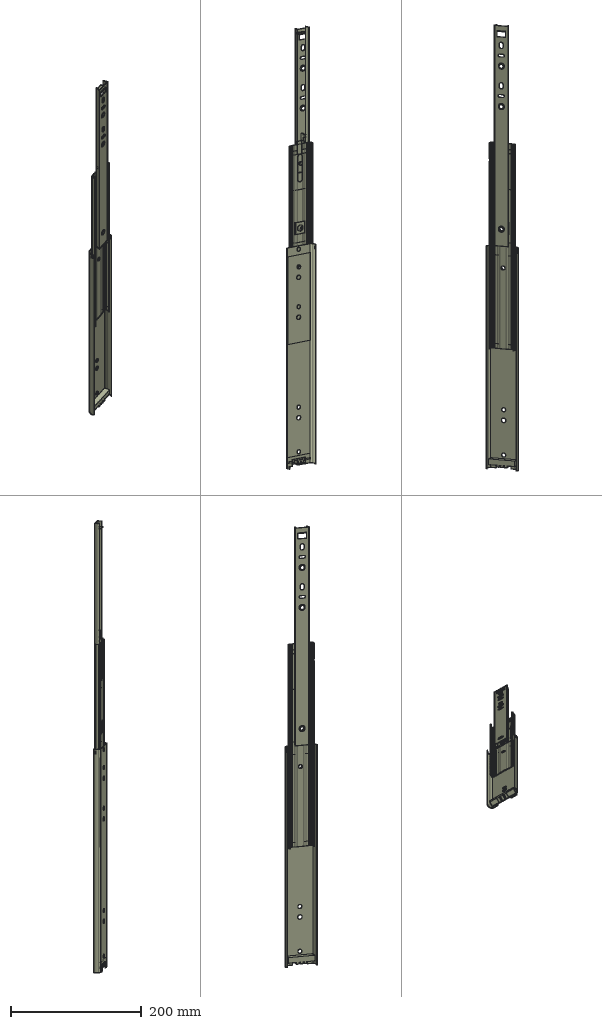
import cadquery as cq
import math


slide_length = 700.0
outer_length = 350.0
middle_bottom, middle_top = 189.0, 513.0
inner_bottom = 353.0
outer_depth = 11.0
inner_overhang = 1.5
slide_depth = outer_depth + inner_overhang
sheet = 1.05
middle_sheet = 0.9
screw_hole = 6.0
hole_pitch = 64.0
through_x = 2 * slide_depth


def shift_path(path, distance):
    """Move an open (x, y) path to its right-hand side, with mitred corners."""
    normals = []
    for (x0, y0), (x1, y1) in zip(path, path[1:]):
        length = math.hypot(x1 - x0, y1 - y0)
        normals.append(((y1 - y0) / length, (x0 - x1) / length))
    shifted = []
    for i, (x, y) in enumerate(path):
        ax, ay = normals[max(i - 1, 0)]
        bx, by = normals[min(i, len(normals) - 1)]
        reach = distance / (1 + ax * bx + ay * by)
        shifted.append((x + (ax + bx) * reach, y + (ay + by) * reach))
    return shifted


def folded_sheet(half_path, thickness, bottom, top):
    """Extrude a folded strip along Z.

    half_path runs from the web to the +Y lip and is mirrored in Y. A positive thickness
    grows towards +X at the web, a negative one towards -X.
    """
    path = [(x, -y) for x, y in reversed(half_path)] + half_path
    outline = path + shift_path(path, thickness)[::-1]
    return cq.Workplane("XY", origin=(0, 0, bottom)).polyline(outline).close().extrude(top - bottom)


def block(x0, x1, y0, y1, z0, z1):
    """Box between the given limits."""
    return cq.Workplane("XY").box(x1 - x0, y1 - y0, z1 - z0, centered=False).translate((x0, y0, z0))


def bore(z, diameter):
    """Round cutter along X through the whole slide."""
    return cq.Workplane("YZ").center(0, z).circle(diameter / 2).extrude(through_x)


def slot(z, long, short, angle):
    """Slot cutter along X; angle 0 lies along Y, 90 along Z."""
    return cq.Workplane("YZ").center(0, z).slot2D(long, short, angle).extrude(through_x)


outer_half_width = 26.0
side_end_half = 24.5
bevel_depth = 3.5
web_half = 22.0

screw_top_z = 316.5
pair_drop = 17.0
wide_hole = 7.0
low_screw_z = 92.5
outer_screws = [screw_top_z, screw_top_z - hole_pitch, low_screw_z]
outer_top_hole_z, outer_low_hole_z = 344.5, 21.0

end_notch_half, end_notch_top = 12.0, 10.5
lip_window_height = 4.0
outer_window_back, outer_window_front = 7.0, 10.5
outer_window_z = 343.0


def outer_section(inset):
    """Filled section of the channel, with back and sides moved inwards by inset."""
    arc_mid = (bevel_depth + outer_depth) / 2
    back_half = web_half - inset / 2
    end_half = side_end_half - inset
    side_half = outer_half_width - inset
    return (
        cq.Workplane("XY")
        .moveTo(inset, -back_half)
        .lineTo(bevel_depth, -end_half)
        .threePointArc((arc_mid, -side_half), (outer_depth, -end_half))
        .lineTo(outer_depth, end_half)
        .threePointArc((arc_mid, side_half), (bevel_depth, end_half))
        .lineTo(inset, back_half)
        .close()
        .extrude(outer_length)
    )


def make_outer():
    member = outer_section(0).cut(outer_section(sheet))
    for z in outer_screws + [outer_top_hole_z, outer_low_hole_z]:
        member = member.cut(bore(z, screw_hole))
    for z in outer_screws:
        member = member.cut(bore(z - pair_drop, wide_hole))
    end_notch = block(0, sheet, -end_notch_half, end_notch_half, 0, end_notch_top)
    lip_windows = block(outer_window_back, outer_window_front, -outer_half_width, outer_half_width,
                        outer_window_z, outer_window_z + lip_window_height)
    return member.cut(end_notch).cut(lip_windows)


middle_back = 2.65
groove_depth = 0.8
groove_floor_half, groove_top_half = 5.25, 9.0
land_half = 13.0
bead_depth = 0.55
bead_pitch = 1.5
middle_half_width = 20.0
corner_front, corner_drop = 4.0, 1.75
side_front = 9.0
lip_fold = 0.55
lip_fold_drop = 0.85
middle_window_z = 484.5

latch_slot_bottom, latch_slot_top, latch_slot_width = 453.0, 497.0, 8.5
low_hole_z = 379.5
access_window = 19.0


def make_middle():
    path = [
        (middle_back + groove_depth, groove_floor_half),
        (middle_back, groove_top_half),
        (middle_back, land_half),
        (middle_back + bead_depth, land_half + bead_pitch),
        (middle_back, land_half + 2 * bead_pitch),
        (middle_back + bead_depth, land_half + 3 * bead_pitch),
        (middle_back + bead_depth, middle_half_width - corner_drop),
        (corner_front, middle_half_width),
        (side_front, middle_half_width),
        (side_front + lip_fold, middle_half_width - lip_fold_drop),
        (side_front + 2 * lip_fold, middle_half_width),
        (side_front + 3 * lip_fold, middle_half_width - 2 * lip_fold_drop),
    ]
    member = folded_sheet(path, middle_sheet, middle_bottom, middle_top)
    half_window = access_window / 2
    access = block(0, outer_depth / 2, -half_window, half_window, low_hole_z - half_window,
                   low_hole_z + half_window)
    latch_slot = slot((latch_slot_bottom + latch_slot_top) / 2, latch_slot_top - latch_slot_bottom,
                      latch_slot_width, 90)
    lip_windows = block(side_front, outer_depth, -middle_half_width, middle_half_width,
                        middle_window_z, middle_window_z + lip_window_height)
    return member.cut(access).cut(latch_slot).cut(lip_windows).cut(bore(screw_top_z, screw_hole))


inner_back = 5.3
inner_half_width = 12.0
bend_x, bend_half = 9.0, 10.5
lip_half = 10.0

group_top_z = 669.0
cross_slot_drop = 16.0
round_hole_drop = 33.0
slot_long, slot_short = 10.0, 6.0
cross_slot_short = 4.0
countersink = 10.0
tab_back, tab_half = 3.15, 7.0
window_bottom, window_top = 682.5, 691.0


def countersunk_hole(z):
    """Cone cutter through the inner web, wide at its back face."""
    wide_end = cq.Workplane("YZ", origin=(slide_depth - sheet, 0, z)).circle(countersink / 2)
    return wide_end.workplane(offset=sheet).circle(screw_hole / 2).loft()


def make_inner():
    path = [
        (slide_depth, inner_half_width),
        (bend_x, bend_half),
        (inner_back, lip_half),
    ]
    member = folded_sheet(path, -sheet, inner_bottom, slide_length)
    for z in (group_top_z, group_top_z - hole_pitch):
        member = member.cut(slot(z, slot_long, slot_short, 90))
        member = member.cut(slot(z - cross_slot_drop, slot_long, cross_slot_short, 0))
        member = member.cut(countersunk_hole(z - round_hole_drop))
    member = member.cut(countersunk_hole(low_hole_z))
    window = block(bend_x, slide_depth, -tab_half, tab_half, window_bottom, window_top)
    tab = block(tab_back, slide_depth, -tab_half, tab_half, window_top, window_top + sheet)
    return member.cut(window).union(tab)


retainer_sheet = 0.5
retainer_front = 8.0
outer_retainer_back, outer_retainer_half = 1.55, 21.0
outer_retainer_bottom, outer_retainer_top = 196.0, 336.0
inner_retainer_back, inner_retainer_half = 4.55, 15.5
inner_retainer_bottom, inner_retainer_top = 357.0, 441.0


def make_retainer(back, half_width, bottom, top, opening):
    path = [(back, half_width), (retainer_front, half_width)]
    return folded_sheet(path, retainer_sheet, bottom, top).cut(opening)


stop_back = 2.3
bar_bottom, bar_top = 497.0, 503.0
tongue_half, stop_top = 4.0, 518.0


def make_stop():
    bar = block(stop_back, middle_back, -land_half, land_half, bar_bottom, bar_top)
    tongue_front = middle_back + groove_depth
    tongue = block(stop_back, tongue_front, -tongue_half, tongue_half, bar_bottom, stop_top)
    return bar.union(tongue)


lever_back, lever_front = 5.5, 8.5
lever_bottom, lever_shoulder, lever_top = 469.0, 516.0, 530.5
lever_half = 6.0
stem_left, stem_right, finger_end = -1.0, -4.0, -8.5
stem_base, finger_bottom, finger_top = 520.0, 523.5, 528.0
lever_hole_z = 483.0


def make_lever():
    outline = [
        (-lever_half, lever_bottom), (lever_half, lever_bottom), (lever_half, lever_shoulder),
        (stem_left, stem_base), (stem_left, lever_top), (stem_right, lever_top),
        (stem_right, finger_top), (finger_end, finger_top), (finger_end, finger_bottom),
        (stem_right, finger_bottom), (stem_right, stem_base), (-lever_half, lever_shoulder),
    ]
    plate = cq.Workplane("YZ", origin=(lever_back, 0, 0)).polyline(outline).close()
    return plate.extrude(lever_front - lever_back).cut(bore(lever_hole_z, screw_hole))


bumper_front, bumper_half = 10.0, 21.0
tooth_bottom, bumper_bottom, bumper_top = 3.5, 6.0, 15.5
tooth_width, tooth_pitch = 4.0, 6.0
ledge_bottom, ledge_depth = 8.5, 1.0


def make_bumper():
    bumper = block(sheet, bumper_front, -bumper_half, bumper_half, bumper_bottom, bumper_top)
    ledge_cut = block(sheet, sheet + ledge_depth, -bumper_half, bumper_half, bumper_bottom, ledge_bottom)
    bumper = bumper.cut(ledge_cut)
    for y in (-tooth_pitch, 0, tooth_pitch):
        tooth = block(sheet + ledge_depth, bumper_front, y - tooth_width / 2, y + tooth_width / 2,
                      tooth_bottom, bumper_bottom)
        bumper = bumper.union(tooth)
    return bumper


outer_member = make_outer()
middle_member = make_middle()
inner_member = make_inner()
outer_retainer = make_retainer(outer_retainer_back, outer_retainer_half, outer_retainer_bottom,
                               outer_retainer_top, bore(screw_top_z, screw_hole))
inner_retainer = make_retainer(inner_retainer_back, inner_retainer_half, inner_retainer_bottom,
                               inner_retainer_top, bore(low_hole_z, countersink))
top_stop = make_stop()
release_lever = make_lever()
end_bumper = make_bumper()

result = cq.Compound.makeCompound([
    outer_member.val(),
    middle_member.val(),
    inner_member.val(),
    outer_retainer.val(),
    inner_retainer.val(),
    top_stop.val(),
    release_lever.val(),
    end_bumper.val(),
])